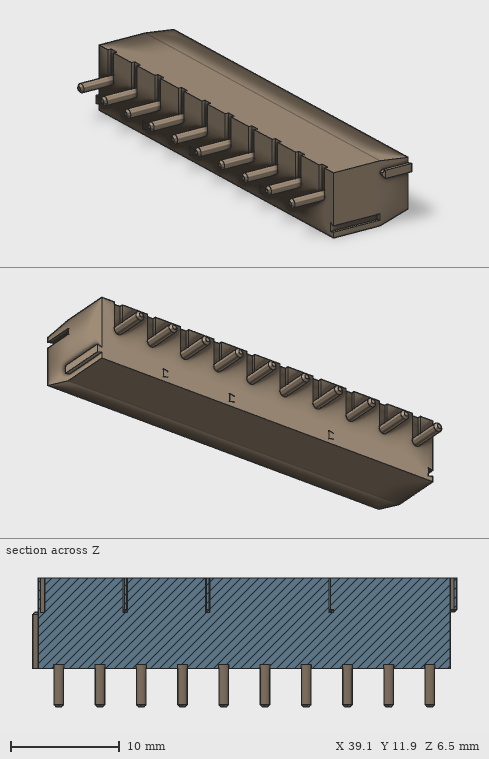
import cadquery as cq


pin_count = 10
length = 37.95
depth = 8.35
height = 6.5
pitch = length / pin_count
taper_length = 3.15
taper_start = depth - taper_length
top_drop = 0.4
bottom_rise = 0.98

pin_radius = 0.45
pin_z = 3.6
pin_projection = 3.55
pin_tip_chamfer = 0.25
slot_depth = 0.35

module_joints = [2, 4, 7]

root_height = 0.6
tip_height = 0.82
rail_end_chamfer = 0.25
groove_clearance = 0.02
front_rail_reach = 0.5
front_rail_z = 0.9
rear_rail_reach = 0.6
rear_rail_z = 5.27


def make_housing():
    outline = [
        (0, 0),
        (taper_start, 0),
        (depth, bottom_rise),
        (depth, height - top_drop),
        (taper_start, height),
        (0, height),
    ]
    return cq.Workplane("YZ").polyline(outline).close().extrude(length)


def make_pin_slot(x):
    return (
        cq.Workplane("XZ")
        .moveTo(x - pin_radius, height)
        .lineTo(x - pin_radius, pin_z)
        .threePointArc((x, pin_z - pin_radius), (x + pin_radius, pin_z))
        .lineTo(x + pin_radius, height)
        .close()
        .extrude(-slot_depth)
    )


def make_pin(x):
    return (
        cq.Workplane("XZ", origin=(x, slot_depth, pin_z))
        .circle(pin_radius)
        .extrude(slot_depth + pin_projection)
        .faces("<Y")
        .chamfer(pin_tip_chamfer)
    )


def make_dovetail(reach, run, clearance=0.0):
    """Bar widening from the plane x = 0 towards +X, running along +Y, grown by the clearance."""
    tip = reach + clearance
    root_half = root_height / 2 + clearance
    tip_half = tip_height / 2 + clearance
    return (
        cq.Workplane("XZ")
        .polyline([(0, -root_half), (tip, -tip_half), (tip, tip_half), (0, root_half)])
        .close()
        .extrude(-(run + clearance))
    )


def bevel_end(dovetail):
    return dovetail.faces(">Y").edges("not <X").chamfer(rail_end_chamfer)


def place_front(dovetail, x):
    return dovetail.mirror("YZ").translate((x, 0, front_rail_z))


def place_rear(dovetail, x):
    return dovetail.mirror("XZ").translate((x, depth, rear_rail_z))


front_rail = bevel_end(make_dovetail(front_rail_reach, taper_start))
front_groove = make_dovetail(front_rail_reach, taper_start, groove_clearance)
rear_rail = bevel_end(make_dovetail(rear_rail_reach, taper_length))
rear_groove = make_dovetail(rear_rail_reach, taper_length, groove_clearance)

result = make_housing()

for index in range(pin_count):
    pin_x = (index + 0.5) * pitch
    result = result.cut(make_pin_slot(pin_x)).union(make_pin(pin_x))

joints = [count * pitch for count in module_joints]
for joint_x in [0] + joints:
    result = result.cut(place_rear(rear_groove, joint_x))
for joint_x in joints + [length]:
    result = result.cut(place_front(front_groove, joint_x))

for joint_x in [0] + joints:
    result = result.union(place_front(front_rail, joint_x))
for joint_x in joints + [length]:
    result = result.union(place_rear(rear_rail, joint_x))